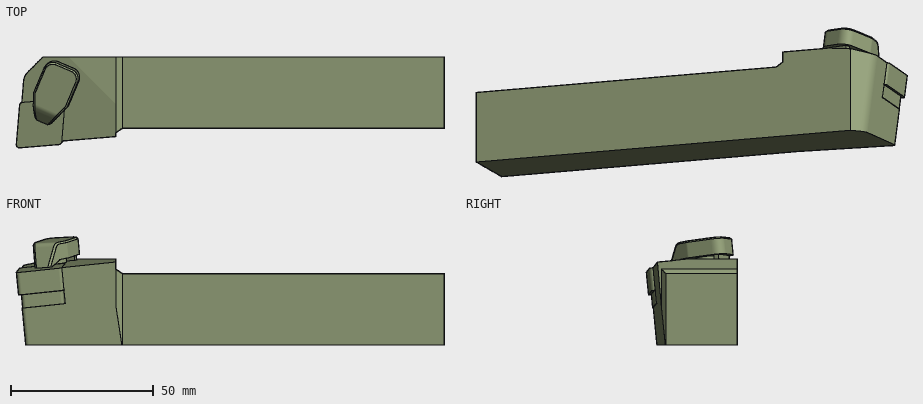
import cadquery as cq
import math


functional_length = 150.0
functional_width = 32.0
shank_size = 25.0
head_length = 35.0
head_height = 30.2
tip_height = 25.3
head_chamfer = 9.5
neck_length = 2.4
neck_flare = 1.6
head_side_radius = 5.0
head_corner_radius = 1.2

insert_angle = 80.0
inscribed_circle = 15.875
insert_thickness = 7.94
insert_radius = 1.2
shim_thickness = 4.76
left_setback = 0.7
front_setback = 1.15
shim_setback = 0.9
shim_clearance = 0.4

edge_rise = 6.0

clamp_along = 25.35
clamp_across = 4.9
clamp_turn = 22.0
clamp_top = 8.03
clamp_underside = 2.0
clamp_half_width = 6.4
clamp_tail = 8.9
clamp_tail_radius = 3.5
clamp_shoulder = -4.0
clamp_shoulder_radius = 1.5
clamp_nose = -13.3
clamp_nose_half_width = 2.75
clamp_toe_length = 1.2
clamp_toe_slope_end = -7.7
clamp_nose_top = -9.0
clamp_nose_radius = 2.6
clamp_edge_chamfer = 0.6
screw_diameter = 7.0
heel_width = 9.6
heel_thickness = 1.8
heel_outer = 6.8

overlap = 1.0
far = 120.0

half_angle = math.radians(insert_angle / 2)
tilt = math.atan(math.tan(math.radians(edge_rise)) / math.cos(half_angle))
level_part = math.cos(tilt) / math.sqrt(2)
insert_plane = cq.Plane(
    origin=(0, -functional_width, tip_height),
    xDir=(level_part, level_part, math.sin(tilt)),
    normal=(-math.sin(tilt) / math.sqrt(2), -math.sin(tilt) / math.sqrt(2), math.cos(tilt)),
)
insert_edge = inscribed_circle / math.sin(2 * half_angle)


def rhombus(edge, near_corner, top, thickness):
    """Rhombic plate in the insert frame, with its acute corner at near_corner and its top at height top."""
    half_long = edge * math.cos(half_angle)
    half_short = edge * math.sin(half_angle)
    outline = [
        (near_corner, 0),
        (near_corner + half_long, -half_short),
        (near_corner + 2 * half_long, 0),
        (near_corner + half_long, half_short),
    ]
    return cq.Workplane(insert_plane).workplane(offset=top).polyline(outline).close().extrude(-thickness)


def corner_edges(plate):
    """The four edges of a rhombic plate that run through its thickness."""
    return plate.edges(cq.selectors.ParallelDirSelector(insert_plane.zDir))


insert = corner_edges(rhombus(insert_edge, 0, 0, insert_thickness)).fillet(insert_radius)


def make_neck():
    """Flare between shank and head, widening upward and toward -Y only."""
    neck_end = head_length + neck_length
    flared = shank_size + neck_flare
    outline = [(head_length, 0), (neck_end, 0), (neck_end, shank_size), (head_length, flared)]
    side = cq.Workplane("XZ").polyline(outline).close().extrude(flared)
    plan = cq.Workplane("XY").polyline([(x, -y) for x, y in outline]).close().extrude(flared)
    return side.intersect(plan)


def make_head():
    """Head block with its flared neck, trimmed by the tilted top and the two tilted side walls."""
    outline = [
        (head_chamfer, 0),
        (-overlap, -head_chamfer - overlap),
        (-overlap, -functional_width - overlap),
        (head_length, -functional_width - overlap),
        (head_length, 0),
    ]
    block = cq.Workplane("XY").polyline(outline).close().extrude(head_height)
    block = block.union(make_neck())

    corner_x = (left_setback + front_setback) / (2 * math.sin(half_angle))
    corner_y = (front_setback - left_setback) / (2 * math.cos(half_angle))
    reach_x = corner_x + far * math.cos(half_angle)
    reach_y = far * math.sin(half_angle)
    wedge_outline = [
        (corner_x, corner_y),
        (reach_x, corner_y - reach_y),
        (2 * far, 0),
        (reach_x, corner_y + reach_y),
    ]
    wedge = cq.Workplane(insert_plane).polyline(wedge_outline).close().extrude(-far)
    nose_middle = insert_plane.toWorldCoords((corner_x, corner_y, -far / 2))
    nose_edge = cq.selectors.NearestToPointSelector(nose_middle)
    wedge = wedge.edges(nose_edge).fillet(head_corner_radius)
    head = block.intersect(wedge)
    chamfer_edge = cq.selectors.NearestToPointSelector((0, -head_chamfer, shank_size / 2))
    return head.edges(chamfer_edge).fillet(head_side_radius)


def make_shank():
    """Square bar from the neck to the rear end."""
    start = head_length + neck_length
    shank = cq.Workplane("XY").box(functional_length - start, shank_size, shank_size, centered=False)
    return shank.translate((start, -shank_size, 0))


def make_pocket():
    """Seat of the insert and shim, with its inner corner rounded to match the insert."""
    pocket = rhombus(insert_edge, 0, 0, insert_thickness + shim_thickness)
    far_corner = (2 * insert_edge * math.cos(half_angle), 0, -insert_thickness)
    inner = cq.selectors.NearestToPointSelector(insert_plane.toWorldCoords(far_corner))
    return pocket.edges(inner).fillet(insert_radius)


def make_shim():
    """Shim set back from the insert's cutting sides and clear of the inner pocket walls."""
    edge = insert_edge - (shim_setback + shim_clearance) / math.sin(2 * half_angle)
    shim = rhombus(edge, shim_setback / math.sin(half_angle), -insert_thickness, shim_thickness)
    return corner_edges(shim).fillet(insert_radius)


def make_clamp():
    """Clamp with screw and heel; its local X points from the nose to the tail."""
    turn = math.radians(clamp_turn)
    origin = insert_plane.toWorldCoords((clamp_along, clamp_across, 0))
    toward_tail = insert_plane.toWorldCoords(
        (clamp_along + math.cos(turn), clamp_across + math.sin(turn), 0)
    )
    base = cq.Plane(origin=origin, xDir=toward_tail - origin, normal=insert_plane.zDir)

    outline = [
        (clamp_tail, -clamp_half_width),
        (clamp_tail, clamp_half_width),
        (clamp_shoulder, clamp_half_width),
        (clamp_nose, clamp_nose_half_width),
        (clamp_nose, -clamp_nose_half_width),
        (clamp_shoulder, -clamp_half_width),
    ]
    body = cq.Workplane("XY").polyline(outline).close().extrude(clamp_top)
    body = body.edges("|Z and >X").fillet(clamp_tail_radius)
    for side in (-1, 1):
        shoulder = (clamp_shoulder, side * clamp_half_width, clamp_top / 2)
        body = body.edges(cq.selectors.NearestToPointSelector(shoulder)).fillet(clamp_shoulder_radius)

    profile = [
        (clamp_nose, 0),
        (clamp_nose + clamp_toe_length, 0),
        (clamp_toe_slope_end, clamp_underside),
        (clamp_tail, clamp_underside),
        (clamp_tail, clamp_top),
        (clamp_nose_top, clamp_top),
    ]
    side_shape = cq.Workplane("XZ").polyline(profile).close().extrude(clamp_half_width, both=True)
    nose_top = cq.selectors.NearestToPointSelector((clamp_nose_top, 0, clamp_top))
    side_shape = side_shape.edges(nose_top).fillet(clamp_nose_radius)
    body = body.intersect(side_shape)
    body = body.faces(">Z").edges("not (|Y and <X)").chamfer(clamp_edge_chamfer)

    screw = cq.Workplane("XY").workplane(offset=-overlap).circle(screw_diameter / 2)
    screw = screw.extrude(clamp_underside + 2 * overlap)
    heel = cq.Workplane("XY").workplane(offset=-overlap).center(heel_outer - heel_thickness / 2, 0)
    heel = heel.rect(heel_thickness, heel_width).extrude(clamp_underside + 2 * overlap)
    clamp = body.union(screw).union(heel)
    return cq.Workplane("XY").newObject([clamp.val().moved(cq.Location(base))])


holder = make_head().union(make_shank()).cut(make_pocket()).union(make_shim()).union(make_clamp())
holder = holder.cut(insert)

result = cq.Compound.makeCompound([holder.val(), insert.val()])